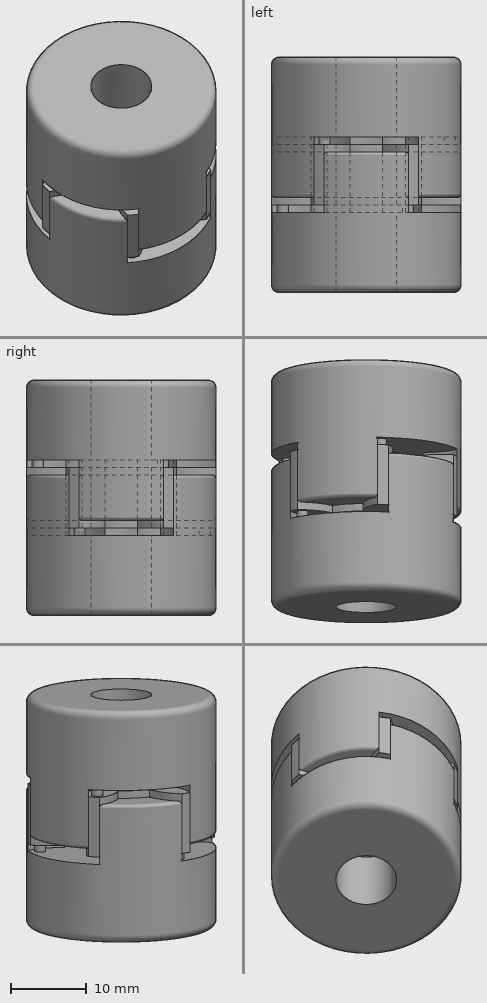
import cadquery as cq
import math

height = 31.0
outer_diameter = 25.0
bore_diameter = 8.0
outer_radius = outer_diameter / 2
end_fillet = 1.0

hub_base_height = 10.5
stud_height = 1.0
jaw_end_gap = 1.0
spider_bottom = hub_base_height + stud_height
spider_height = height - 2 * spider_bottom
jaw_height = spider_height - jaw_end_gap + stud_height
jaw_fillet = 0.5

jaw_count = 3
jaw_pitch = 360 / jaw_count
arm_pitch = jaw_pitch / 2
arm_end_width = 1.5
jaw_tip_radius = 7.5
jaw_tip_half_width = 2.15
flank_radius = 6.82
rim_clearance = 2.48

stud_diameter = 1.5
stud_center_radius = 11.0

lower_jaw_angle = 180
top_stud_angle = 30
bottom_stud_angle = 90


def disc(diameter, bottom, length):
    return cq.Workplane("XY").workplane(offset=bottom).circle(diameter / 2).extrude(length)


def flank_points():
    """Tip corner, arc midpoint and rim corner of the concave flank of a jaw along +X."""
    tip_y = jaw_tip_half_width
    tip_x = math.sqrt(jaw_tip_radius**2 - tip_y**2)
    rim_angle = math.radians(arm_pitch / 2) - math.asin(arm_end_width / 2 / outer_radius)
    rim_x = outer_radius * math.cos(rim_angle)
    rim_y = outer_radius * math.sin(rim_angle)
    chord = math.hypot(rim_x - tip_x, rim_y - tip_y)
    sagitta = flank_radius - math.sqrt(flank_radius**2 - (chord / 2) ** 2)
    middle_x = (tip_x + rim_x) / 2 + sagitta * (rim_y - tip_y) / chord
    middle_y = (tip_y + rim_y) / 2 - sagitta * (rim_x - tip_x) / chord
    return (tip_x, tip_y), (middle_x, middle_y), (rim_x, rim_y)


def mirrored(point):
    return (point[0], -point[1])


def jaw_prism(angle, bottom, length):
    """Jaw section with a concave inner tip and flanks, running out past the rim."""
    tip, middle, rim = flank_points()
    run_out = (rim[0] + rim_clearance, rim[1])
    return (
        cq.Workplane("XY")
        .workplane(offset=bottom)
        .moveTo(*mirrored(tip))
        .threePointArc(mirrored(middle), mirrored(rim))
        .lineTo(*mirrored(run_out))
        .lineTo(*run_out)
        .lineTo(*rim)
        .threePointArc(middle, tip)
        .threePointArc((jaw_tip_radius, 0), mirrored(tip))
        .close()
        .extrude(length)
        .rotate((0, 0, 0), (0, 0, 1), angle)
    )


def make_hub():
    """Lower hub: a bored cylinder cleared around its jaws above the base."""
    hub = disc(outer_diameter, 0, hub_base_height + jaw_height)
    hub = hub.faces("<Z").edges().fillet(end_fillet)
    hub = hub.faces(">Z").edges().fillet(jaw_fillet)
    clearance = disc(outer_diameter + 2 * rim_clearance, hub_base_height, jaw_height)
    for index in range(jaw_count):
        angle = lower_jaw_angle + index * jaw_pitch
        clearance = clearance.cut(jaw_prism(angle, hub_base_height, jaw_height))
    return hub.cut(clearance).cut(disc(bore_diameter, 0, height))


def make_upper_hub():
    """Same hub turned over, with its jaws between those of the lower hub."""
    middle = (0, 0, height / 2)
    return make_hub().rotate(middle, (0, 1, height / 2), 180)


def add_studs(spider, first_angle, bottom):
    stud = disc(stud_diameter, bottom, stud_height).translate((stud_center_radius, 0, 0))
    for index in range(jaw_count):
        angle = first_angle + index * jaw_pitch
        spider = spider.union(stud.rotate((0, 0, 0), (0, 0, 1), angle))
    return spider


def make_spider():
    """Star-shaped insert filling the space between all jaws."""
    spider = disc(outer_diameter, spider_bottom, spider_height)
    for index in range(2 * jaw_count):
        spider = spider.cut(jaw_prism(index * arm_pitch, spider_bottom, spider_height))
    spider = spider.cut(disc(bore_diameter, spider_bottom, spider_height))
    spider = add_studs(spider, top_stud_angle, spider_bottom + spider_height)
    return add_studs(spider, bottom_stud_angle, hub_base_height)


lower_hub = make_hub()
upper_hub = make_upper_hub()
spider = make_spider()

result = cq.Compound.makeCompound([lower_hub.val(), upper_hub.val(), spider.val()])